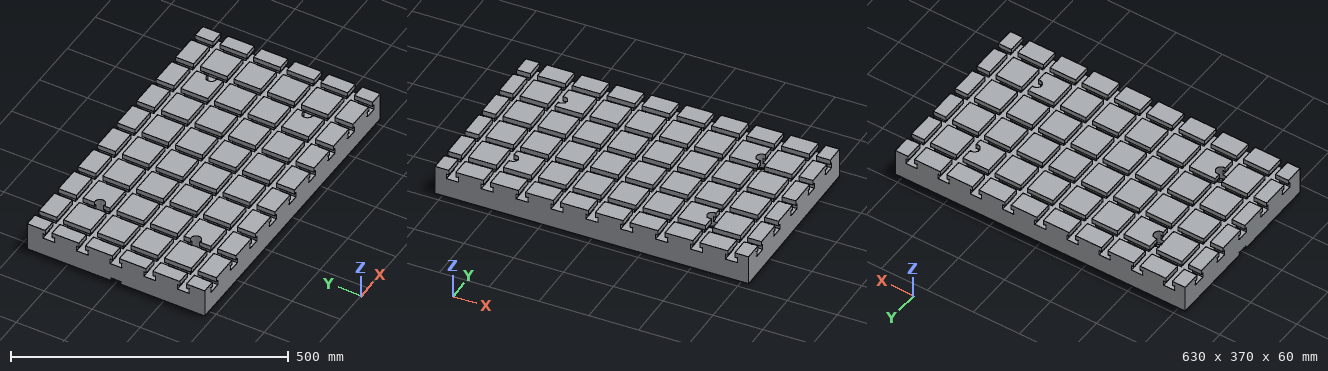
import cadquery as cq

LENGTH = 630.0
WIDTH = 370.0
HEIGHT = 60.0

SLOT_PITCH = 70.0
SLOTS_ALONG_Y = 9
SLOTS_ALONG_X = 5
NECK_WIDTH = 14.0
HEAD_WIDTH = 24.0
SLOT_DEPTH = 20.0
HEAD_HEIGHT = 10.0

HOLE_SPACING_X = 400.0
HOLE_SPACING_Y = 200.0
HOLE_DIAMETER = 13.5
COUNTERBORE_DIAMETER = 20.0
COUNTERBORE_DEPTH = 30.0

KEYWAY_WIDTH = 20.0
KEYWAY_DEPTH = 6.0
KEYWAY_LENGTH = 30.0


def centred_positions(count, pitch):
    """Evenly spaced positions, symmetric about zero."""
    return [(i - (count - 1) / 2) * pitch for i in range(count)]


def t_slot_along_x(length):
    """T-shaped cutter along X, with its mouth in the top face."""
    floor = HEIGHT - SLOT_DEPTH
    bottom_up = (True, True, False)
    neck = cq.Workplane("XY", origin=(0, 0, floor)).box(length, NECK_WIDTH, SLOT_DEPTH, centered=bottom_up)
    head = cq.Workplane("XY", origin=(0, 0, floor)).box(length, HEAD_WIDTH, HEAD_HEIGHT, centered=bottom_up)
    return neck.union(head)


def cut_t_slots(body):
    slot_x = t_slot_along_x(LENGTH)
    for y in centred_positions(SLOTS_ALONG_X, SLOT_PITCH):
        body = body.cut(slot_x.translate((0, y, 0)))
    slot_y = t_slot_along_x(WIDTH).rotate((0, 0, 0), (0, 0, 1), 90)
    for x in centred_positions(SLOTS_ALONG_Y, SLOT_PITCH):
        body = body.cut(slot_y.translate((x, 0, 0)))
    return body


def cut_mounting_holes(body):
    return (
        body.copyWorkplane(cq.Workplane("XY", origin=(0, 0, HEIGHT)))
        .rarray(HOLE_SPACING_X, HOLE_SPACING_Y, 2, 2)
        .cboreHole(HOLE_DIAMETER, COUNTERBORE_DIAMETER, COUNTERBORE_DEPTH, HEIGHT)
    )


def cut_keyway(body):
    keyway = cq.Workplane("XY", origin=(-LENGTH / 2, 0, 0)).box(
        KEYWAY_LENGTH, KEYWAY_WIDTH, KEYWAY_DEPTH, centered=(False, True, False)
    )
    return body.cut(keyway)


result = cq.Workplane("XY").box(LENGTH, WIDTH, HEIGHT, centered=(True, True, False))
result = cut_t_slots(result)
result = cut_mounting_holes(result)
result = cut_keyway(result)